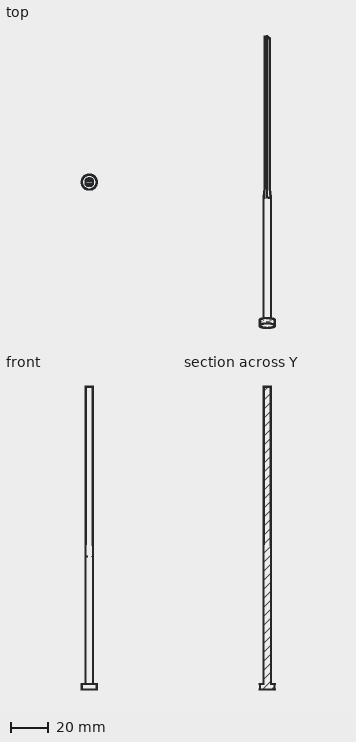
import cadquery as cq
import math

total_length = 160.0
head_diameter = 8.0
head_height = 3.0
shaft_diameter = 4.2
blade_length = total_length / 2
blade_width = 3.8
blade_thickness = 1.3
transition_length = 9.6

blade_bottom = total_length - blade_length
shaft_top = blade_bottom - transition_length


def make_head():
    return cq.Workplane("XY").circle(head_diameter / 2).extrude(head_height)


def make_shaft():
    return cq.Workplane("XY").circle(shaft_diameter / 2).extrude(shaft_top)


def make_transition():
    """Straight-ruled loft from the round shaft to the rectangular blade."""
    radius = shaft_diameter / 2
    half_width = blade_width / 2
    half_thickness = blade_thickness / 2
    split_x = math.sqrt(radius**2 - half_thickness**2)
    round_end = (
        cq.Workplane("XY", origin=(0, 0, shaft_top))
        .moveTo(split_x, -half_thickness)
        .threePointArc((radius, 0), (split_x, half_thickness))
        .threePointArc((0, radius), (-split_x, half_thickness))
        .threePointArc((-radius, 0), (-split_x, -half_thickness))
        .threePointArc((0, -radius), (split_x, -half_thickness))
        .close()
    )
    flat_end = (
        cq.Workplane("XY", origin=(0, 0, blade_bottom))
        .moveTo(half_width, -half_thickness)
        .lineTo(half_width, half_thickness)
        .lineTo(-half_width, half_thickness)
        .lineTo(-half_width, -half_thickness)
        .close()
    )
    loft = cq.Solid.makeLoft([round_end.val(), flat_end.val()], True)
    return cq.Workplane("XY").add(loft)


def make_blade():
    return (
        cq.Workplane("XY", origin=(0, 0, blade_bottom))
        .rect(blade_width, blade_thickness)
        .extrude(blade_length)
    )


result = make_head().union(make_shaft()).union(make_transition()).union(make_blade())